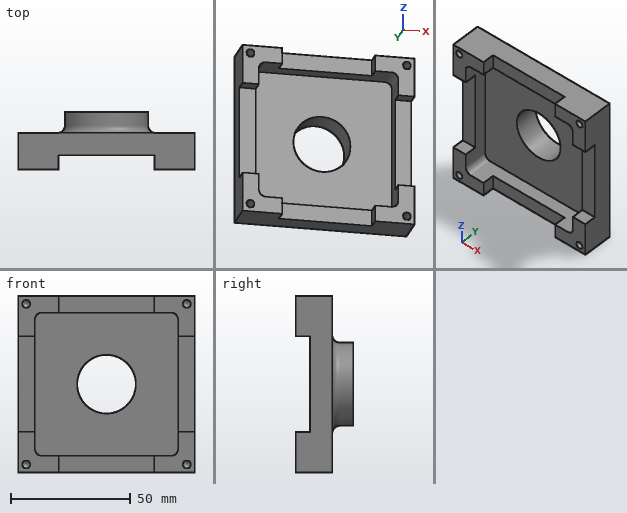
import cadquery as cq
import math

side = 74.0
total_depth = 24.2
plate_depth = 15.4

pocket_side = 60.0
pocket_depth = 12.2
pocket_corner_radius = 3.0
notch_width = 40.0
notch_depth = 6.0

boss_diameter = 35.0
boss_fillet = 3.0
bore_diameter = 24.5

hole_spacing = 67.3
hole_diameter = 3.3
hole_depth = 7.4
drill_point_angle = 118.0


def front_face(y):
    """Sketch plane at the given Y, with its normal toward -Y."""
    return cq.Workplane("XZ", origin=(0, y, 0))


def plate_with_boss():
    boss_height = total_depth - plate_depth
    plate = front_face(0).rect(side, side).extrude(-plate_depth)
    body = plate.union(front_face(plate_depth).circle(boss_diameter / 2).extrude(-boss_height))
    root_radius = boss_diameter / 2 + boss_fillet
    arc_offset = boss_fillet * (1 - math.sqrt(0.5))
    fillet_ring = (
        cq.Workplane("XY")
        .moveTo(0, plate_depth)
        .lineTo(root_radius, plate_depth)
        .threePointArc(
            (boss_diameter / 2 + arc_offset, plate_depth + arc_offset),
            (boss_diameter / 2, plate_depth + boss_fillet),
        )
        .lineTo(0, plate_depth + boss_fillet)
        .close()
        .revolve(360, (0, 0, 0), (0, 1, 0))
    )
    return body.union(fillet_ring)


def pocket():
    block = front_face(0).rect(pocket_side, pocket_side).extrude(-pocket_depth)
    return block.edges("|Y").fillet(pocket_corner_radius)


def wall_notches():
    across = front_face(0).rect(side, notch_width).extrude(-notch_depth)
    upright = front_face(0).rect(notch_width, side).extrude(-notch_depth)
    return across.union(upright)


def corner_holes():
    radius = hole_diameter / 2
    point_depth = radius / math.tan(math.radians(drill_point_angle / 2))
    drill = (
        cq.Workplane("XY")
        .polyline([(0, 0), (radius, 0), (radius, hole_depth), (0, hole_depth + point_depth)])
        .close()
        .revolve(360, (0, 0, 0), (0, 1, 0))
    )
    holes = cq.Workplane("XY")
    for x_sign in (-1, 1):
        for z_sign in (-1, 1):
            holes = holes.add(drill.translate((x_sign * hole_spacing / 2, 0, z_sign * hole_spacing / 2)))
    return holes.combine()


bore = front_face(0).circle(bore_diameter / 2).extrude(-total_depth)

result = plate_with_boss().cut(pocket()).cut(wall_notches()).cut(corner_holes()).cut(bore)